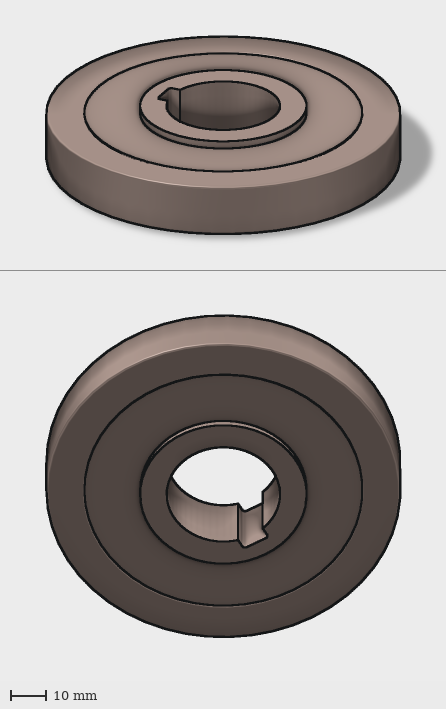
import cadquery as cq

hub_diameter = 47.0
hub_height = 18.5
bore_diameter = 32.0
key_width = 8.0
key_floor_radius = 18.8
key_corner_radius = 0.9
key_angle = 212.5

rim_diameter = 100.0
rim_inner_diameter = 78.5
rim_height = 15.0
rim_edge_radius = 0.8
web_recess = 0.5
web_height = rim_height - 2 * web_recess


def centred_ring(outer_diameter, inner_diameter, height):
    """Ring around Z, centred on the XY plane."""
    return (
        cq.Workplane("XY", origin=(0, 0, -height / 2))
        .circle(outer_diameter / 2)
        .circle(inner_diameter / 2)
        .extrude(height)
    )


def make_hub():
    """Hub sleeve with a round-cornered keyway through its bore."""
    keyway = (
        cq.Workplane("XY")
        .box(key_floor_radius, key_width, hub_height, centered=(False, True, True))
        .edges("|Z and >X")
        .fillet(key_corner_radius)
        .rotate((0, 0, 0), (0, 0, 1), key_angle)
    )
    return centred_ring(hub_diameter, bore_diameter, hub_height).cut(keyway)


def make_web():
    """Flat disc between hub and rim."""
    return centred_ring(rim_inner_diameter, hub_diameter, web_height)


def make_rim():
    """Outer ring with all four circular edges rounded."""
    ring = centred_ring(rim_diameter, rim_inner_diameter, rim_height)
    smallest_circles = cq.selectors.RadiusNthSelector(0)
    largest_circles = cq.selectors.RadiusNthSelector(-1)
    ring = ring.edges("%CIRCLE").edges(smallest_circles).fillet(web_recess)
    return ring.edges("%CIRCLE").edges(largest_circles).fillet(rim_edge_radius)


hub = make_hub()
web = make_web()
rim = make_rim()

result = cq.Compound.makeCompound([hub.val(), web.val(), rim.val()])